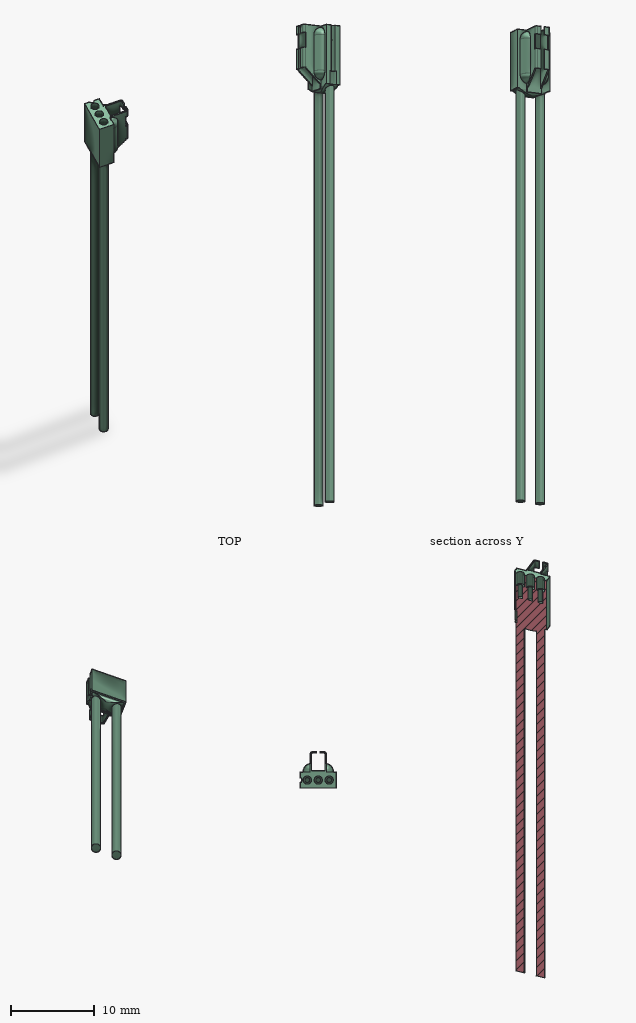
import cadquery as cq

total_height = 57.95
body_width = 4.35
body_depth = 1.9
body_bottom = 50.75

pitch = 1.305
row_y = body_depth / 2
mouth_radius = 0.49
mouth_depth = 1.75
bore_radius = 0.3
bore_depth = 3.5
wire_radius = 0.55

groove_radius = 0.26
wide_groove_radius = 0.435
wide_groove_top = 52.4

plug_inset = 0.2
plug_drop = 0.7
plug_fillet = 0.45

sheet = 0.2
clip_half_width = 0.955
clip_depth = 4.35
clip_bottom = 50.3
base_back = body_depth + sheet
plate_edge = 4.0
slope_top = 52.6
slope_bottom = 50.95
lip_gap = 0.45
bend_inner_radius = 0.05
bend_outer_radius = bend_inner_radius + sheet
upper_lip = (56.95, total_height)
lower_lip = (52.7, 55.15)

bulge_radius = 1.05
bulge_bottom = 52.4
bulge_top = 56.7
plate_inner = clip_half_width - sheet


def block(x_range, y_range, z_range):
    """Box given by its limits along each axis."""
    size = [high - low for low, high in (x_range, y_range, z_range)]
    corner = (x_range[0], y_range[0], z_range[0])
    return cq.Workplane("XY").box(*size, centered=False).translate(corner)


def rod(x, y, radius, bottom, top):
    """Upright cylinder."""
    return cq.Workplane("XY", origin=(x, y, bottom)).circle(radius).extrude(top - bottom)


def make_housing():
    """Block with three stepped sockets and the key groove."""
    half = body_width / 2
    housing = block((-half, half), (0, body_depth), (body_bottom, total_height))
    for x in (-pitch, 0, pitch):
        housing = housing.cut(rod(x, row_y, mouth_radius, total_height - mouth_depth, total_height))
        housing = housing.cut(rod(x, row_y, bore_radius, total_height - bore_depth, total_height))
    housing = housing.cut(rod(-half, row_y, groove_radius, body_bottom, total_height))
    return housing.cut(rod(-half, row_y, wide_groove_radius, body_bottom, wide_groove_top))


def make_plug():
    """Plug with an arched underside whose lower front and back edges are rounded."""
    half = body_width / 2 - plug_inset
    plug_bottom = body_bottom - plug_drop
    arch = (
        cq.Workplane("XZ")
        .moveTo(-half, body_bottom)
        .threePointArc((0, plug_bottom), (half, body_bottom))
        .close()
        .extrude(-body_depth)
    )
    bar = block((-half, half), (plug_inset, body_depth), (plug_bottom, body_bottom))
    return arch.intersect(bar.edges("|X and <Z").fillet(plug_fillet))


def make_lip(z_range):
    """Inward lip of the +X plate, bent from the sheet."""
    z_low, z_high = z_range
    lip_edge = lip_gap / 2
    return (
        cq.Workplane("XY", origin=(0, 0, z_low))
        .moveTo(clip_half_width, body_depth)
        .lineTo(clip_half_width, clip_depth - bend_outer_radius)
        .radiusArc((clip_half_width - bend_outer_radius, clip_depth), -bend_outer_radius)
        .lineTo(lip_edge, clip_depth)
        .lineTo(lip_edge, clip_depth - sheet)
        .lineTo(plate_inner - bend_inner_radius, clip_depth - sheet)
        .radiusArc((plate_inner, clip_depth - bend_outer_radius), bend_inner_radius)
        .lineTo(plate_inner, body_depth)
        .close()
        .extrude(z_high - z_low)
    )


def make_clip_side():
    """The +X plate with its sloping lower edge, its lips and its bulge."""
    plate = (
        cq.Workplane("YZ", origin=(plate_inner, 0, 0))
        .moveTo(body_depth, slope_bottom)
        .lineTo(base_back, slope_bottom)
        .lineTo(plate_edge, slope_top)
        .lineTo(plate_edge, total_height)
        .lineTo(body_depth, total_height)
        .close()
        .extrude(sheet)
    )
    for z_range in (upper_lip, lower_lip):
        plate = plate.union(make_lip(z_range))

    bulge = rod(plate_inner, body_depth, bulge_radius, bulge_bottom, bulge_top)
    for z in (bulge_bottom, bulge_top):
        bulge = bulge.union(cq.Workplane("XY").sphere(bulge_radius).translate((plate_inner, body_depth, z)))
    outside = block((plate_inner, body_width / 2), (body_depth, clip_depth), (body_bottom, total_height))
    return plate.union(bulge.intersect(outside))


base = block((-clip_half_width, clip_half_width), (body_depth, base_back), (clip_bottom, total_height))
clip_side = make_clip_side()
wire = rod(pitch, row_y, wire_radius, 0, body_bottom)

result = make_housing().union(make_plug()).union(base)
for half_part in (clip_side, wire):
    result = result.union(half_part).union(half_part.mirror("YZ"))